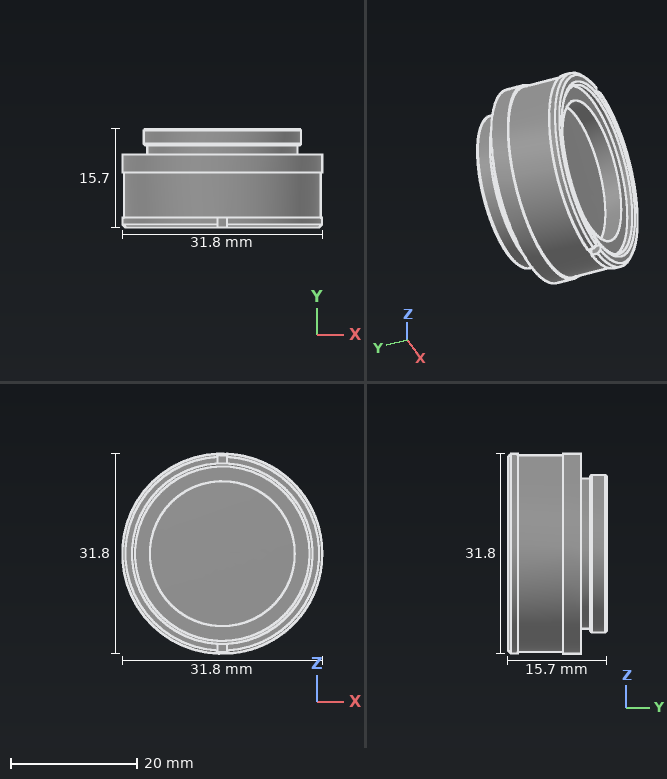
import cadquery as cq

flange_radius = 15.88
body_radius = 15.62
neck_radius = 11.95
collar_radius = 12.5

rim_depth = 1.55
body_end = 8.7
flange_end = 11.6
neck_end = 13.02
total_depth = 15.65

rim_chamfer = 0.5
collar_chamfer = 0.3

mouth_radius = 14.32
shelf_radius = 13.85
mouth_depth = 0.3
shelf_depth = 1.15
bore_radius = 11.5
bore_depth = 3.9
dome_height = 0.13

slot_width = 1.52


def barrel():
    """Half section of the barrel in the XY plane, revolved about Y."""
    collar_edge = collar_radius - collar_chamfer
    dome_top = bore_depth - dome_height
    dome_middle = (bore_radius / 2, dome_top + dome_height / 4)
    profile = (
        cq.Workplane("XY")
        .moveTo(0, dome_top)
        .threePointArc(dome_middle, (bore_radius, bore_depth))
        .lineTo(bore_radius, shelf_depth)
        .lineTo(shelf_radius, shelf_depth)
        .lineTo(shelf_radius, mouth_depth)
        .lineTo(mouth_radius, 0)
        .lineTo(flange_radius - rim_chamfer, 0)
        .lineTo(flange_radius, rim_chamfer)
        .lineTo(flange_radius, rim_depth)
        .lineTo(body_radius, rim_depth)
        .lineTo(body_radius, body_end)
        .lineTo(flange_radius, body_end)
        .lineTo(flange_radius, flange_end)
        .lineTo(neck_radius, flange_end)
        .lineTo(neck_radius, neck_end)
        .lineTo(collar_edge, neck_end)
        .lineTo(collar_radius, neck_end + collar_chamfer)
        .lineTo(collar_radius, total_depth - collar_chamfer)
        .lineTo(collar_edge, total_depth)
        .lineTo(0, total_depth)
        .close()
    )
    return profile.revolve(360, (0, 0, 0), (0, 1, 0))


def rim_slots():
    """Two opposite notches through the rim, outside the tapered mouth."""
    bar = cq.Workplane("XY").box(slot_width, rim_depth, 2 * flange_radius + 0.32)
    core = cq.Workplane("XZ").circle(mouth_radius).extrude(rim_depth, both=True)
    return bar.translate((0, rim_depth / 2, 0)).cut(core)


result = barrel().cut(rim_slots())